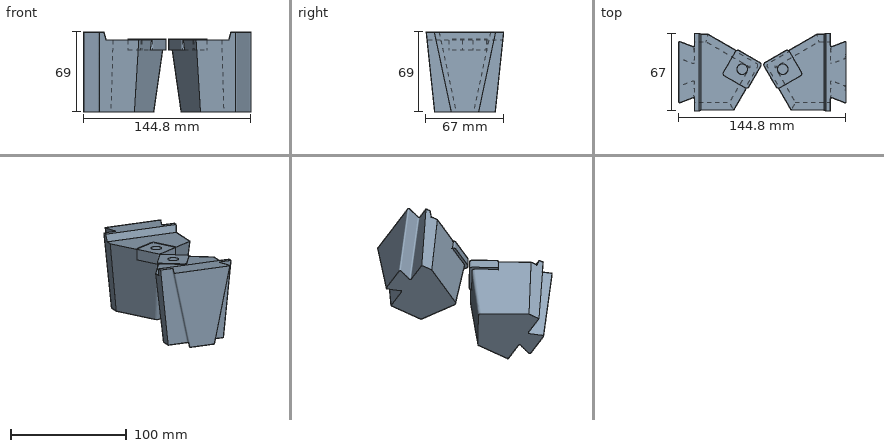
import cadquery as cq
import math

height = 69.0
half_length = 72.4
width = 67.0
half_width = width / 2
side_slope = math.tan(math.radians(6))

tail_depth = 13.6
tail_half_width = 27.0
tail_flank_angle = 21
tail_slope = math.tan(math.radians(12))
tail_round = 1.0
root_round = 1.0
back_x = -half_length
shoulder_x = back_x + tail_depth

floor_z = 62.5
step_top_x = -54.7
step_foot_x = -53.0

insert_side = 25.3
insert_thickness = 9.5
insert_round = 2.3
insert_top_z = 63.1
insert_bottom_z = insert_top_z - insert_thickness
insert_x = -17.5
insert_y = 2.6
insert_angle = -30
pin_diameter = 9.1

nose_offset = 11.5
nose_round = 2.5


def nose_point(along_front, along_rear):
    """Point at given distances from the insert centre, measured square to the two nose faces."""
    turn = math.radians(insert_angle)
    x = insert_x + along_front * math.cos(turn) - along_rear * math.sin(turn)
    y = insert_y + along_front * math.sin(turn) + along_rear * math.cos(turn)
    return x, y


def block_section(z):
    """Outline of the jaw block at height z; every face but the shoulder leans inwards going down."""
    turn = math.radians(insert_angle)
    side_y = half_width - (height - z) * side_slope
    offset = nose_offset - (floor_z - z) * side_slope
    tip = nose_point(offset, offset)
    rear_corner_x = tip[0] + (side_y - tip[1]) / math.tan(turn)
    front_corner_x = tip[0] + (side_y + tip[1]) * math.tan(turn)
    points = [
        (shoulder_x, side_y),
        (shoulder_x, -side_y),
        (front_corner_x, -side_y),
        tip,
        (rear_corner_x, side_y),
    ]
    return cq.Wire.makePolygon([cq.Vector(x, y, z) for x, y in points], close=True)


def tail_section(z):
    """Dovetail outline at height z."""
    back_y = tail_half_width - (height - z) * tail_slope
    root_y = back_y - tail_depth * math.tan(math.radians(tail_flank_angle))
    points = [(back_x, back_y), (back_x, -back_y), (shoulder_x, -root_y), (shoulder_x, root_y)]
    return cq.Wire.makePolygon([cq.Vector(x, y, z) for x, y in points], close=True)


def make_tapered(section):
    return cq.Workplane(cq.Solid.makeLoft([section(0), section(height)], True))


def edges_near(x):
    """Selector for the slanted tail edges, whose centres lie near mid height at one X position."""
    margin = 0.01
    return cq.selectors.BoxSelector(
        (x - margin, -tail_half_width, height / 4),
        (x + margin, tail_half_width, height * 3 / 4),
    )


def make_insert_blank():
    """Rounded square of the insert without its hole."""
    return (
        cq.Workplane("XY")
        .rect(insert_side, insert_side)
        .extrude(insert_thickness)
        .edges("|Z")
        .fillet(insert_round)
        .rotate((0, 0, 0), (0, 0, 1), insert_angle)
        .translate((insert_x, insert_y, insert_bottom_z))
    )


def make_pin():
    return (
        cq.Workplane("XY", origin=(insert_x, insert_y, insert_bottom_z))
        .circle(pin_diameter / 2)
        .extrude(insert_thickness)
    )


def make_step_cut():
    """Everything above the floor and in front of the sloping step wall."""
    return (
        cq.Workplane("XZ")
        .polyline([(step_top_x, height), (step_foot_x, floor_z), (half_length, floor_z), (half_length, height)])
        .close()
        .extrude(half_width * 2, both=True)
    )


def make_jaw():
    block = make_tapered(block_section)
    nose_tip = nose_point(nose_offset, nose_offset)
    block = block.edges(cq.selectors.NearestToPointSelector((*nose_tip, height / 2))).fillet(nose_round)
    jaw = block.union(make_tapered(tail_section))
    jaw = jaw.edges(edges_near(back_x)).fillet(tail_round)
    jaw = jaw.edges(edges_near(shoulder_x)).fillet(root_round)
    jaw = jaw.cut(make_step_cut())
    jaw = jaw.cut(make_insert_blank())
    return jaw.union(make_pin())


def make_insert():
    return make_insert_blank().cut(make_pin())


def mirrored_pair(body):
    return [body.val(), body.mirror("YZ").val()]


jaws = mirrored_pair(make_jaw())
inserts = mirrored_pair(make_insert())
result = cq.Compound.makeCompound([*jaws, *inserts])